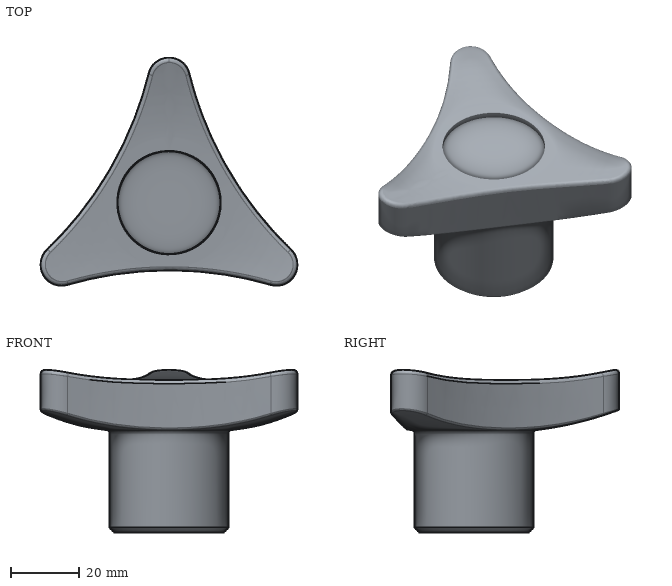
import cadquery as cq
import math

lobe_count = 3
lobe_center_radius = 36.3
lobe_radius = 6.2
waist_radius = 19.85

recess_diameter = 30.0
recess_depth = 1.9
recess_rim_chamfer = 0.19

top_flat_height = 44.7
top_flat_radius = recess_diameter / 2
top_arc_radius = 115.1
underside_flat_height = 29.2
underside_flat_radius = 5.3
underside_arc_radius = 106.05
top_edge_fillet = 1.1
underside_edge_fillet = 0.6

hub_diameter = 35.0
hub_chamfer = 1.5
hub_root_fillet = 0.7

blank_bottom = 22.6
blank_top = 60.2


def polar(radius, angle):
    return (radius * math.cos(math.radians(angle)), radius * math.sin(math.radians(angle)))


def lobe_outline():
    """Lobe arcs joined tangentially by large concave arcs."""
    pitch = 360 / lobe_count
    half_pitch = math.radians(pitch / 2)
    along = lobe_center_radius * math.cos(half_pitch)
    across = lobe_center_radius * math.sin(half_pitch)
    gap = waist_radius - along
    side_radius = (across**2 + gap**2 - lobe_radius**2) / (2 * (lobe_radius - gap))
    side_center = waist_radius + side_radius
    share = lobe_radius / (lobe_radius + side_radius)
    tangent_along = along + share * (side_center - along)
    tangent_across = across * (1 - share)
    tangent_radius = math.hypot(tangent_along, tangent_across)
    tangent_angle = pitch / 2 - math.degrees(math.atan2(tangent_across, tangent_along))

    first_lobe = 90
    outline = cq.Workplane("XY", origin=(0, 0, blank_bottom))
    outline = outline.moveTo(*polar(tangent_radius, first_lobe - tangent_angle))
    for i in range(lobe_count):
        lobe = first_lobe + i * pitch
        outline = outline.threePointArc(
            polar(lobe_center_radius + lobe_radius, lobe),
            polar(tangent_radius, lobe + tangent_angle),
        )
        outline = outline.threePointArc(
            polar(waist_radius, lobe + pitch / 2),
            polar(tangent_radius, lobe + pitch - tangent_angle),
        )
    return outline.close()


def dish_height(radius, flat_height, flat_radius, arc_radius):
    """Height of a dished face at a distance from the axis beyond its flat middle."""
    return flat_height + arc_radius - math.sqrt(arc_radius**2 - (radius - flat_radius) ** 2)


def bowl(flat_height, flat_radius, arc_radius):
    """Solid above a dished face, revolved about Z."""
    rim_radius = lobe_center_radius + 2 * lobe_radius
    middle_radius = (flat_radius + rim_radius) / 2
    middle_height = dish_height(middle_radius, flat_height, flat_radius, arc_radius)
    rim_height = dish_height(rim_radius, flat_height, flat_radius, arc_radius)
    return (
        cq.Workplane("YZ")
        .moveTo(0, flat_height)
        .lineTo(flat_radius, flat_height)
        .threePointArc((middle_radius, middle_height), (rim_radius, rim_height))
        .lineTo(rim_radius, blank_top)
        .lineTo(0, blank_top)
        .close()
        .revolve(360, (0, 0), (0, 1))
    )


def round_outline(body, side, radius):
    """Fillet the outer edges of the dished face on one side, not the border of its flat middle."""
    dished_face = body.faces("not %PLANE").faces(side).val()
    return body.newObject(dished_face.outerWire().Edges()).fillet(radius)


def handle():
    blank = lobe_outline().extrude(blank_top - blank_bottom)
    body = blank.intersect(bowl(underside_flat_height, underside_flat_radius, underside_arc_radius))
    body = body.cut(bowl(top_flat_height, top_flat_radius, top_arc_radius))
    body = round_outline(body, ">Z", top_edge_fillet)
    return round_outline(body, "<Z", underside_edge_fillet)


def hub():
    height = (underside_flat_height + top_flat_height) / 2
    cylinder = cq.Workplane("XY").circle(hub_diameter / 2).extrude(height)
    return cylinder.faces("<Z").chamfer(hub_chamfer).rotate((0, 0, 0), (0, 0, 1), 90)


def recess():
    floor_height = top_flat_height - recess_depth
    radius = recess_diameter / 2
    pocket = cq.Workplane("XY", origin=(0, 0, floor_height)).circle(radius).extrude(blank_top - floor_height)
    rim = (
        cq.Workplane("XY", origin=(0, 0, top_flat_height - recess_rim_chamfer))
        .circle(radius)
        .workplane(offset=recess_rim_chamfer)
        .circle(radius + recess_rim_chamfer)
        .loft()
    )
    return pocket.union(rim)


def round_hub_root(body):
    """Fillet the circle where the hub meets the dished underside."""
    root_height = dish_height(
        hub_diameter / 2, underside_flat_height, underside_flat_radius, underside_arc_radius
    )
    reach = hub_root_fillet
    root_zone = cq.selectors.BoxSelector(
        (-reach, -reach, root_height - reach),
        (reach, reach, root_height + reach),
    )
    return body.edges(root_zone).fillet(hub_root_fillet)


result = round_hub_root(handle().union(hub())).cut(recess())